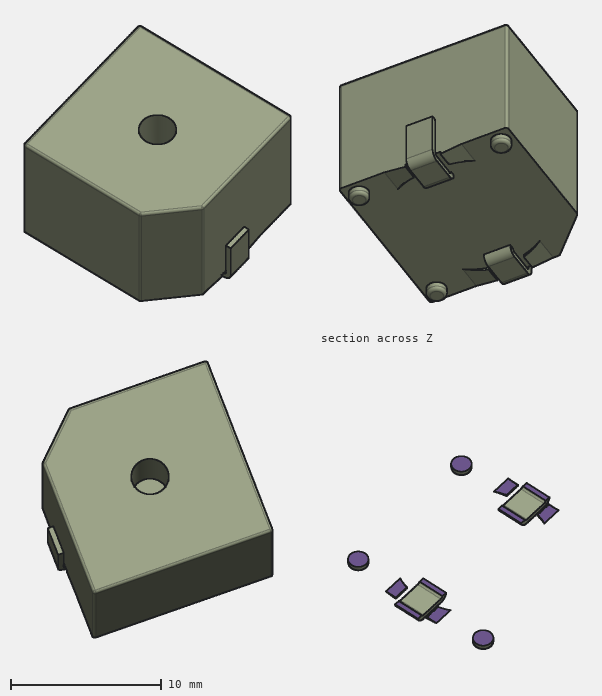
import cadquery as cq

lead_span = 13.8
body_width = 12.8
total_height = 10.0

standoff = 0.6
corner_cut = 3.0
edge_radius = 0.2
sound_hole_diameter = 2.5
sound_hole_depth = 4.14

pin_diameter = 1.4
pin_offset = 5.4
pin_tip_radius = 0.25

lead_width = 2.0
lead_thickness = 0.4
lead_height = 3.53
lead_foot_length = 3.0
lead_bend_radius = standoff

ramp_inner_y = 1.32
ramp_outer_y = 2.93
ramp_drop = standoff - lead_thickness
ramp_clearance_diameter = 10.75

half_body = body_width / 2
half_span = lead_span / 2


def make_housing():
    """Square block with one cut corner, rounded upright and top edges, and a blind sound hole."""
    block = (
        cq.Workplane("XY", origin=(0, 0, standoff))
        .moveTo(-half_body, -half_body)
        .lineTo(half_body - corner_cut, -half_body)
        .lineTo(half_body, -half_body + corner_cut)
        .lineTo(half_body, half_body)
        .lineTo(-half_body, half_body)
        .close()
        .extrude(total_height - standoff)
        .edges("|Z or >Z")
        .fillet(edge_radius)
    )
    return block.faces(">Z").workplane(origin=(0, 0, total_height)).hole(sound_hole_diameter, sound_hole_depth)


def make_pin(x, y):
    """Locating pin with a rounded tip at Z = 0."""
    return (
        cq.Workplane("XY")
        .center(x, y)
        .circle(pin_diameter / 2)
        .extrude(standoff)
        .faces("<Z")
        .edges()
        .fillet(pin_tip_radius)
    )


def make_left_lead():
    """Lead that rises beside the -X wall and whose foot curls up to the housing base."""
    outer_x = -half_span
    tip_x = outer_x + lead_foot_length
    inner_radius = lead_bend_radius - lead_thickness
    return (
        cq.Workplane("XZ", origin=(0, lead_width / 2, 0))
        .moveTo(outer_x, lead_height)
        .lineTo(outer_x, lead_bend_radius)
        .radiusArc((outer_x + lead_bend_radius, 0), -lead_bend_radius)
        .lineTo(tip_x - lead_bend_radius, 0)
        .radiusArc((tip_x, lead_bend_radius), -lead_bend_radius)
        .lineTo(tip_x - lead_thickness, lead_bend_radius)
        .radiusArc((tip_x - lead_bend_radius, lead_thickness), inner_radius)
        .lineTo(outer_x + lead_bend_radius, lead_thickness)
        .radiusArc((outer_x + lead_thickness, lead_bend_radius), inner_radius)
        .lineTo(outer_x + lead_thickness, lead_height)
        .close()
        .extrude(lead_width)
    )


def make_ramps():
    """Four ramps, deepest next to the leads, ending inward at a round clearance."""
    ramp = (
        cq.Workplane("YZ", origin=(-half_body, 0, 0))
        .moveTo(ramp_inner_y, standoff)
        .lineTo(ramp_outer_y, standoff)
        .lineTo(ramp_inner_y, standoff - ramp_drop)
        .close()
        .extrude(body_width)
    )
    clearance = cq.Workplane("XY").circle(ramp_clearance_diameter / 2).extrude(standoff)
    return ramp.union(ramp.mirror("XZ")).cut(clearance)


result = make_housing().union(make_ramps())

left_lead = make_left_lead()
result = result.union(left_lead).union(left_lead.mirror("YZ"))

for x_side, y_side in ((-1, -1), (-1, 1), (1, 1)):
    result = result.union(make_pin(x_side * pin_offset, y_side * pin_offset))